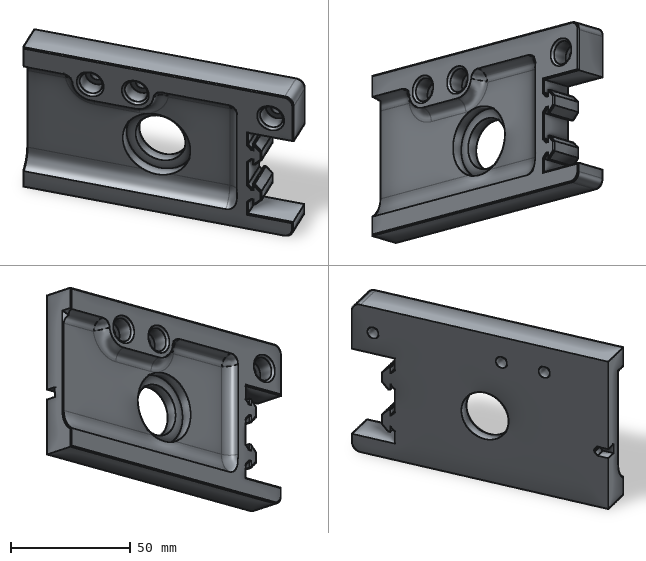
import cadquery as cq
import math

length = 119.9
thickness = 15.0
height = 70.0
corner_radius = 4.0
front_edge_chamfer = 0.5
overshoot = 1.0

notch_depth = 20.0
lower_arm_setback = 0.15
notch_bottom = 7.8
notch_top = 48.15
lower_arm_end = length - lower_arm_setback
notch_wall = lower_arm_end - notch_depth
notch_middle = (notch_bottom + notch_top) / 2
hook_pitch = 20.0
hook_root_half = 4.5
hook_neck_half = 2.7
hook_neck_length = 2.15
hook_tip_half = 5.2
hook_tip_flat = 0.8
hook_reach = 5.95

screw_z = 58.0
screw_xs = (29.9, 49.9, 109.9)
screw_hole_diameter = 5.2
screw_head_diameter = 10.0
screw_head_depth = 8.0
screw_head_chamfer = 1.0

pocket_depth = 5.0
pocket_right = 94.95
pocket_top = 60.6
pocket_bottom = 8.2
pocket_floor_bottom = 17.2
pocket_fillet = 5.0
pocket_corner_radius = 4.0
boss_radius = 8.0
pocket_end_chamfer = 0.5
end_chamfer_reach = 2.5
wedge_tilt_step = 20
wedge_last_tilt = 80
wedge_apex_stretch = 1.3

bore_x = 57.6
bore_z = 30.8
bore_diameter = 22.0
counterbore_diameter = 30.0
counterbore_depth = 5.0

slot_middle = 26.35
slot_width = 4.3
slot_depth = 5.0
slot_straight = 5.0
slot_tip_half = 0.7
slot_tip_rise = 0.25

arc_run = pocket_floor_bottom - pocket_bottom
arc_radius = (arc_run**2 + pocket_depth**2) / (2 * pocket_depth)
pocket_mouth = pocket_depth - arc_radius


def front_plane(y):
    """Sketch plane facing -Y, with sketch x = X and sketch y = Z."""
    return cq.Workplane("XZ", origin=(0, y, 0))


def hook_points(z):
    """Outline of one hook from its upper root to its lower root."""
    hook_back = notch_wall + hook_neck_length
    hook_front = notch_wall + hook_reach
    neck_start = notch_wall + hook_root_half - hook_neck_half
    shoulder = hook_back + hook_tip_flat
    nose_half = hook_tip_half - (hook_front - shoulder)
    upper = [
        (notch_wall, hook_root_half),
        (neck_start, hook_neck_half),
        (hook_back, hook_neck_half),
        (hook_back, hook_tip_half),
        (shoulder, hook_tip_half),
        (hook_front, nose_half),
    ]
    lower = [(x, -offset) for x, offset in reversed(upper)]
    return [(x, z + offset) for x, offset in upper + lower]


def make_plate():
    notch = [(length, notch_top), (notch_wall, notch_top)]
    notch += hook_points(notch_middle + hook_pitch / 2)
    notch += hook_points(notch_middle - hook_pitch / 2)
    notch += [(notch_wall, notch_bottom), (lower_arm_end, notch_bottom)]
    plate = (
        front_plane(thickness)
        .lineTo(0, height)
        .lineTo(length - corner_radius, height)
        .radiusArc((length, height - corner_radius), corner_radius)
        .polyline(notch, includeCurrent=True)
        .lineTo(lower_arm_end, corner_radius)
        .radiusArc((lower_arm_end - corner_radius, 0), corner_radius)
        .close()
        .extrude(thickness)
    )
    return plate.faces("<Y").chamfer(front_edge_chamfer)


def skirt_profile(plane, wall, metal_side):
    """Section of a wall whose foot flares into the pocket floor with the pocket fillet.

    Sketch x is measured along the wall's normal, sketch y along the depth Y.
    `wall` is the wall's place, and the metal lies between it and `metal_side`.
    """
    toward_pocket = math.copysign(pocket_fillet, wall - metal_side)
    bow = 1 - math.sqrt(0.5)
    return (
        plane.moveTo(metal_side, pocket_mouth - overshoot)
        .lineTo(wall, pocket_mouth - overshoot)
        .lineTo(wall, 0)
        .threePointArc(
            (wall + toward_pocket * bow, pocket_fillet * (1 - bow)),
            (wall + toward_pocket, pocket_depth),
        )
        .lineTo(metal_side, pocket_depth)
        .close()
    )


def make_top_wall():
    plane = cq.Workplane(cq.Plane((-overshoot, 0, 0), (0, 0, 1), (-1, 0, 0)))
    wall = skirt_profile(plane, pocket_top, height)
    return wall.extrude(-(pocket_right + 2 * overshoot))


def make_boss():
    """Lobe around the two left screw holes that stands inside the pocket."""
    left, right = screw_xs[:2]
    plane = cq.Workplane(cq.Plane((left, 0, 0), (0, 0, 1), (-1, 0, 0)))
    boss = skirt_profile(plane, screw_z - boss_radius, height).extrude(left - right)
    for x in (left, right):
        plane = cq.Workplane("XY", origin=(x, 0, screw_z))
        post = skirt_profile(plane, boss_radius, 0).revolve(360, (0, 0, 0), (0, 1, 0))
        boss = boss.union(post)
    return boss


def corner_wedge(ball_place):
    """Metal that rounds one upper pocket corner, as left by a ball rolling down into it.

    The tilt is the angle, from level towards the floor, at which the ball touches both walls.
    `ball_place` takes the ball centre's inset towards the walls and its Z. It returns the
    centre's X and the level direction (x, z) from there to the side wall.
    """
    inset = pocket_fillet - pocket_corner_radius
    wires = []
    for degrees in range(0, wedge_last_tilt + 1, wedge_tilt_step):
        tilt = math.radians(degrees)
        flat = math.cos(tilt)
        deep = math.sin(tilt)
        center_z = pocket_top - pocket_fillet + inset * flat
        center_x, side = ball_place(inset * flat, center_z)
        center = cq.Vector(center_x, inset * deep, center_z)
        to_top = cq.Vector(0, deep, flat)
        to_side = cq.Vector(side[0] * flat, deep, side[1] * flat)
        between = to_top + to_side
        start = center + to_top * pocket_corner_radius
        end = center + to_side * pocket_corner_radius
        crown = center + between.normalized() * pocket_corner_radius
        tangent_reach = pocket_corner_radius / (1 + to_top.dot(to_side))
        apex = center + between * (tangent_reach * wedge_apex_stretch)
        edges = [
            cq.Edge.makeThreePointArc(start, crown, end),
            cq.Edge.makeLine(end, apex),
            cq.Edge.makeLine(apex, start),
        ]
        wires.append(cq.Wire.assembleEdges(edges))
    return cq.Workplane(cq.Solid.makeLoft(wires))


def make_corner_wedges():
    def at_right_wall(inset, center_z):
        return pocket_right - pocket_fillet + inset, (1, 0)

    def beside_boss(screw_x, outward):
        def place(inset, center_z):
            distance = boss_radius + pocket_fillet - inset
            drop = screw_z - center_z
            run = outward * math.sqrt(distance**2 - drop**2)
            return screw_x + run, (-run / distance, drop / distance)

        return place

    places = [at_right_wall, beside_boss(screw_xs[0], -1), beside_boss(screw_xs[1], 1)]
    return [corner_wedge(place) for place in places]


def pocket_profile(x, spread):
    """Pocket section at x, without the upper fillet and enlarged all round by `spread`."""
    radius = arc_radius + spread
    return (
        cq.Workplane("YZ", origin=(x, 0, 0))
        .moveTo(pocket_mouth, pocket_top + spread)
        .lineTo(pocket_depth + spread, pocket_top + spread)
        .lineTo(pocket_depth + spread, pocket_floor_bottom)
        .radiusArc((pocket_mouth, pocket_floor_bottom - radius), radius)
        .close()
    )


def make_pocket():
    pocket = pocket_profile(-overshoot, 0).extrude(pocket_right + overshoot)
    pocket = pocket.faces(">X").edges(">Y or %CIRCLE").fillet(pocket_fillet)
    pocket = pocket.cut(make_top_wall()).cut(make_boss())
    for wedge in make_corner_wedges():
        pocket = pocket.cut(wedge)
    return pocket


def make_end_chamfer():
    """Chamfer along the pocket's open left end, with the upper corner left square."""
    outer = pocket_profile(0, pocket_end_chamfer).val()
    inner = pocket_profile(end_chamfer_reach, pocket_end_chamfer - end_chamfer_reach).val()
    return cq.Workplane(cq.Solid.makeLoft([outer, inner], True))


def make_stepped_bore():
    bore = front_plane(thickness + overshoot).center(bore_x, bore_z).circle(bore_diameter / 2)
    counterbore = (
        front_plane(pocket_depth + counterbore_depth)
        .center(bore_x, bore_z)
        .circle(counterbore_diameter / 2)
    )
    cut_length = thickness + 2 * overshoot
    return bore.extrude(cut_length).union(counterbore.extrude(pocket_depth + counterbore_depth))


def make_screw_hole(x):
    head_radius = screw_head_diameter / 2
    hole_radius = screw_hole_diameter / 2
    mouth_radius = head_radius + screw_head_chamfer
    return (
        cq.Workplane("XY", origin=(x, 0, screw_z))
        .polyline(
            [
                (0, 0),
                (mouth_radius, 0),
                (head_radius, screw_head_chamfer),
                (head_radius, screw_head_depth),
                (hole_radius, screw_head_depth),
                (hole_radius, thickness),
                (0, thickness),
            ]
        )
        .close()
        .revolve(360, (0, 0, 0), (0, 1, 0))
    )


def make_slot():
    """Slot from the left end whose inner end tapers at 45 degrees to a blunt tip."""
    half = slot_width / 2
    tip_start = slot_straight + half - slot_tip_half
    outline = [
        (-overshoot, slot_middle - half),
        (slot_straight, slot_middle - half),
        (tip_start, slot_middle - slot_tip_half),
        (tip_start + slot_tip_rise, slot_middle),
        (tip_start, slot_middle + slot_tip_half),
        (slot_straight, slot_middle + half),
        (-overshoot, slot_middle + half),
    ]
    return front_plane(thickness + overshoot).polyline(outline).close().extrude(slot_depth + overshoot)


plate = make_plate()
plate = plate.cut(make_pocket()).cut(make_end_chamfer())
plate = plate.cut(make_stepped_bore()).cut(make_slot())
for screw_x in screw_xs:
    plate = plate.cut(make_screw_hole(screw_x))
result = plate